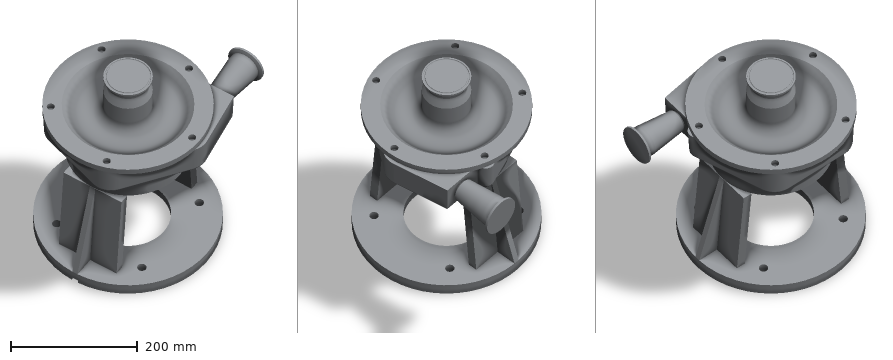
import cadquery as cq
import math

base_radius = 150.0
base_thickness = 20.0
base_bore_radius = 68.0
base_hole_radius = 7.5
base_hole_circle = 114.7
base_hole_count = 4
base_hole_angle = 45
underside_recess_radius = 90.0
underside_depth = 5.5
groove_width = 12.0

leg_width = 110.0
leg_thickness = 16.0
leg_top_y = 100.3
leg_bottom_y = 114.0
rib_thickness = 10.0

drum_radius = 100.0
drum_bottom = 180.0
shaft_radius = 37.8
shaft_length = 17.3

casing_bottom = 222.5
casing_top = 273.5
casing_draft = 2
casing_edge_radius = 5.0
side_count = 5
side_angle = 360 / side_count
side_distance = 115.8
corner_radius = 35.3
outlet_face_y = 115.5
outlet_face_right_x = 124.0
outlet_corner_radius = 36.5
outlet_wall_angle = 9.5
tongue_radius = 14.0
tongue_x = 53.3

flange_radius = 135.5
flange_top = 284.0
bolt_circle = 122.0
bolt_hole_radius = 6.5
recess_top_radius = 105.0
recess_wall_angle = 45
recess_fillet = 15.0
recess_depth = 15.5

ferrule_rim = 3.5
ferrule_back = 2.5
gasket_groove_radius = 1.5

total_height = 353.0
inlet_radius = 39.2
inlet_neck_radius = 32.5
inlet_cone_bottom = 319.8
inlet_cone_top = 335.7
inlet_groove_radius = 35.3

outlet_x = 91.0
outlet_z = 249.5
outlet_end_y = 200.0
outlet_rim_radius = 33.0
outlet_pipe_radius = 26.0
outlet_cone_end_y = 182.5
outlet_small_radius = 19.5
outlet_cone_start_y = 119.3
outlet_root_radius = 15.5
outlet_root_depth = 10.5


def polar(radius, angle):
    """Point at a radius and an angle in degrees about the axis."""
    turn = math.radians(angle)
    return (radius * math.cos(turn), radius * math.sin(turn))


def cylinder(radius, bottom, top):
    return cq.Workplane("XY").workplane(offset=bottom).circle(radius).extrude(top - bottom)


def make_base():
    plate = cylinder(base_radius, 0, base_thickness)
    bore = cylinder(base_bore_radius, 0, base_thickness)
    holes = (
        cq.Workplane("XY")
        .polarArray(base_hole_circle, base_hole_angle, 360, base_hole_count)
        .circle(base_hole_radius)
        .extrude(base_thickness)
    )
    recess = cylinder(underside_recess_radius, 0, underside_depth)
    groove = cq.Workplane("XY").box(
        groove_width, base_radius, underside_depth, centered=(True, False, False)
    )
    groove = groove.translate((0, -base_radius, 0))
    return plate.cut(bore).cut(holes).cut(recess).cut(groove)


def make_leg_web(foot_y, width):
    """Upright web from the leg's inner face out to its foot, narrowing towards the drum."""
    return (
        cq.Workplane("YZ")
        .moveTo(leg_bottom_y - leg_thickness, base_thickness)
        .lineTo(foot_y, base_thickness)
        .lineTo(leg_top_y, drum_bottom)
        .lineTo(leg_top_y - leg_thickness, drum_bottom)
        .close()
        .extrude(width / 2, both=True)
    )


def make_leg():
    """Leaning plate with a triangular rib behind it, on the +Y side."""
    plate = make_leg_web(leg_bottom_y, leg_width)
    rib = make_leg_web(base_radius, rib_thickness)
    return plate.union(rib).intersect(cylinder(base_radius, 0, drum_bottom))


def wall_crossing(first, second):
    """Point where two casing walls meet, each given as (normal angle, distance from the axis)."""
    first_normal = polar(1, first[0])
    second_normal = polar(1, second[0])
    cross = first_normal[0] * second_normal[1] - first_normal[1] * second_normal[0]
    return (
        (first[1] * second_normal[1] - second[1] * first_normal[1]) / cross,
        (second[1] * first_normal[0] - first[1] * second_normal[0]) / cross,
    )


def make_casing():
    """Pentagonal volute with rounded corners, drawn out to an outlet face."""
    sides = [((index + 0.5) * side_angle, side_distance) for index in range(1, side_count)]
    outlet_normal = polar(1, outlet_wall_angle)
    outlet_distance = outlet_face_right_x * outlet_normal[0] + outlet_face_y * outlet_normal[1]
    outlet_wall = (outlet_wall_angle, outlet_distance)
    tongue_wall = (0, tongue_x)

    walls = [tongue_wall] + sides + [outlet_wall]
    corners = [wall_crossing(first, second) for first, second in zip(walls, walls[1:])]
    radii = [tongue_radius] + [corner_radius] * (len(sides) - 1) + [outlet_corner_radius]
    outlet_face = [(outlet_face_right_x, outlet_face_y), (tongue_x, outlet_face_y)]

    height = casing_top - casing_bottom
    casing = (
        cq.Workplane("XY")
        .workplane(offset=casing_top)
        .polyline(corners + outlet_face)
        .close()
        .extrude(-height, taper=casing_draft)
    )
    for corner, radius in zip(corners, radii):
        corner_edge = cq.selectors.NearestToPointSelector((*corner, casing_top - height / 2))
        casing = casing.edges(corner_edge).fillet(radius)
    return casing.faces("<Z").edges().fillet(casing_edge_radius)


def make_flange():
    flange = cylinder(flange_radius, casing_top, flange_top)
    bolt_holes = (
        cq.Workplane("XY")
        .workplane(offset=casing_top)
        .polarArray(bolt_circle, 0, 360, side_count)
        .circle(bolt_hole_radius)
        .extrude(flange_top - casing_top)
    )
    return flange.cut(bolt_holes)


def make_recess():
    """Ring-shaped dish around the inlet, with a conical wall and rounded foot on both sides."""
    wall = math.radians(recess_wall_angle)
    floor = flange_top - recess_depth
    wall_drop = recess_depth - recess_fillet * (1 - math.cos(wall))
    wall_foot = recess_top_radius - wall_drop / math.tan(wall)
    floor_outer = wall_foot - recess_fillet * math.sin(wall)
    floor_inner = inlet_radius + recess_fillet
    mid_wall = wall / 2
    return (
        cq.Workplane("XZ")
        .moveTo(inlet_radius, flange_top)
        .lineTo(inlet_radius, floor + recess_fillet)
        .radiusArc((floor_inner, floor), -recess_fillet)
        .lineTo(floor_outer, floor)
        .threePointArc(
            (
                floor_outer + recess_fillet * math.sin(mid_wall),
                floor + recess_fillet * (1 - math.cos(mid_wall)),
            ),
            (wall_foot, flange_top - wall_drop),
        )
        .lineTo(recess_top_radius, flange_top)
        .close()
        .revolve(360, (0, 0, 0), (0, 1, 0))
    )


def make_inlet():
    rim_bottom = total_height - ferrule_rim
    pipe = (
        cq.Workplane("XZ")
        .moveTo(0, casing_top)
        .lineTo(inlet_radius, casing_top)
        .lineTo(inlet_radius, inlet_cone_bottom)
        .lineTo(inlet_neck_radius, inlet_cone_top)
        .lineTo(inlet_neck_radius, rim_bottom - ferrule_back)
        .lineTo(inlet_radius, rim_bottom)
        .lineTo(inlet_radius, total_height)
        .lineTo(0, total_height)
        .close()
        .revolve(360, (0, 0, 0), (0, 1, 0))
    )
    gasket_groove = (
        cq.Workplane("XZ")
        .center(inlet_groove_radius, total_height)
        .circle(gasket_groove_radius)
        .revolve(360, (-inlet_groove_radius, 0, 0), (-inlet_groove_radius, 1, 0))
    )
    return pipe.cut(gasket_groove)


def make_outlet():
    rim_start = outlet_end_y - ferrule_rim
    root_y = outlet_face_y - outlet_root_depth
    return (
        cq.Workplane("XY", origin=(outlet_x, 0, outlet_z))
        .moveTo(0, root_y)
        .lineTo(outlet_root_radius, root_y)
        .lineTo(outlet_root_radius, outlet_face_y)
        .lineTo(outlet_small_radius, outlet_cone_start_y)
        .lineTo(outlet_pipe_radius, outlet_cone_end_y)
        .lineTo(outlet_pipe_radius, rim_start - ferrule_back)
        .lineTo(outlet_rim_radius, rim_start)
        .lineTo(outlet_rim_radius, outlet_end_y)
        .lineTo(0, outlet_end_y)
        .close()
        .revolve(360, (0, 0, 0), (0, 1, 0))
    )


drum = cylinder(drum_radius, drum_bottom, casing_bottom)
shaft = cylinder(shaft_radius, drum_bottom - shaft_length, drum_bottom)
leg = make_leg()

result = (
    make_base()
    .union(leg)
    .union(leg.mirror("XZ"))
    .union(drum)
    .union(shaft)
    .union(make_casing())
    .union(make_flange())
    .cut(make_recess())
    .union(make_inlet())
    .union(make_outlet())
)